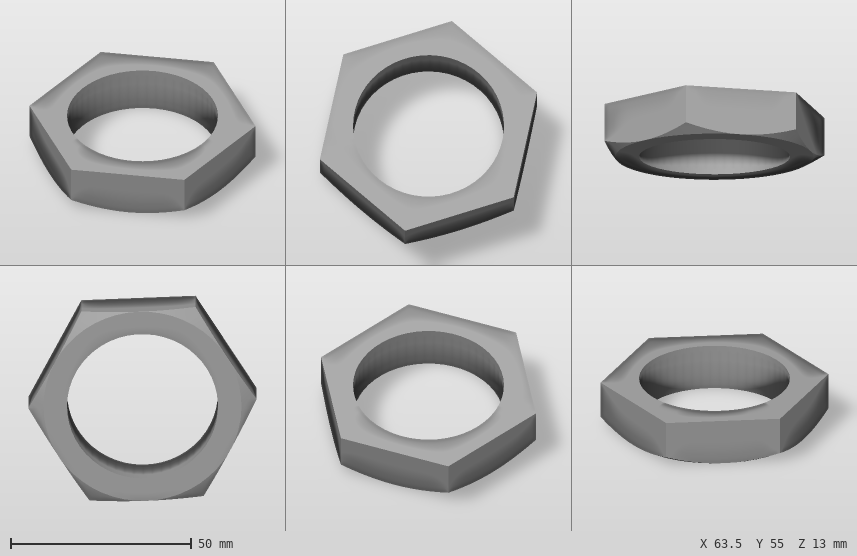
import cadquery as cq
import math

across_corners = 63.5
height = 13.0
bore_diameter = 41.9
chamfer_angle = 30.0

corner_radius = across_corners / 2
flat_radius = corner_radius * math.cos(math.radians(30))
chamfer_height = (corner_radius - flat_radius) * math.tan(math.radians(chamfer_angle))


def hexagonal_body():
    """Hexagonal prism with corners on the X axis and its lower face at Z = 0."""
    return cq.Workplane("XY").polygon(6, across_corners).extrude(height)


def chamfer_envelope():
    """Revolved blank whose lower cone starts at the circle touching the flats."""
    return (
        cq.Workplane("XZ")
        .moveTo(0, 0)
        .lineTo(flat_radius, 0)
        .lineTo(corner_radius, chamfer_height)
        .lineTo(corner_radius, height)
        .lineTo(0, height)
        .close()
        .revolve(360, (0, 0, 0), (0, 1, 0))
    )


def bore():
    """Cylinder that passes through the full height."""
    return cq.Workplane("XY").circle(bore_diameter / 2).extrude(height)


result = hexagonal_body().intersect(chamfer_envelope()).cut(bore())